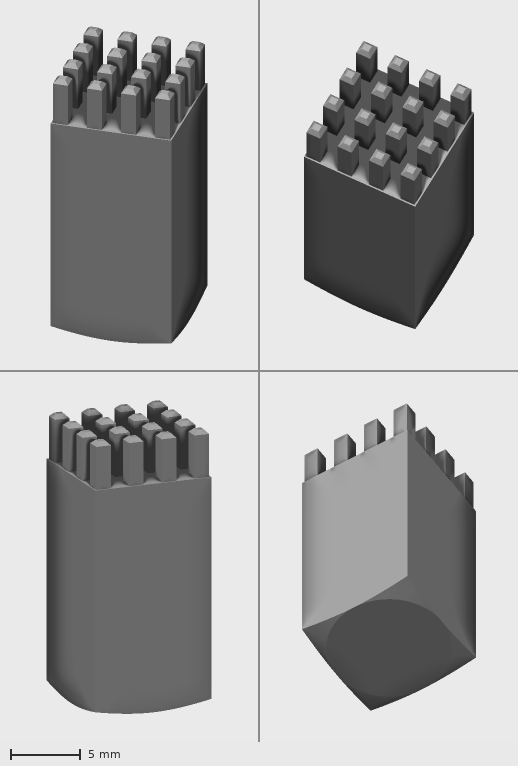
import cadquery as cq
import math

BODY_WIDTH = 9.0
BODY_HEIGHT = 17.0
BOTTOM_BEVEL_ANGLE = 15.0

PINS_PER_SIDE = 4
PIN_PITCH = 2.54
PIN_WIDTH = 1.13
PIN_HEIGHT = 3.5
PIN_TIP_CHAMFER = 0.3


def make_corner_bevel_cone():
    """Round envelope whose conical lower end bevels the corners of the body."""
    flat_radius = BODY_WIDTH / 2
    outer_radius = BODY_WIDTH
    cone_height = (outer_radius - flat_radius) * math.tan(math.radians(BOTTOM_BEVEL_ANGLE))
    profile = (
        cq.Workplane("XZ")
        .moveTo(0, 0)
        .lineTo(flat_radius, 0)
        .lineTo(outer_radius, cone_height)
        .lineTo(outer_radius, BODY_HEIGHT)
        .lineTo(0, BODY_HEIGHT)
        .close()
    )
    return profile.revolve(360, (0, 0, 0), (0, 1, 0))


def make_body():
    """Square block with a flat circle at the bottom and bevelled bottom corners."""
    block = cq.Workplane("XY").rect(BODY_WIDTH, BODY_WIDTH).extrude(BODY_HEIGHT)
    return block.intersect(make_corner_bevel_cone())


def add_pins(body):
    """Grid of square pins with chamfered tips, centred on the top face."""
    pins = (
        cq.Workplane("XY")
        .workplane(offset=BODY_HEIGHT)
        .rarray(PIN_PITCH, PIN_PITCH, PINS_PER_SIDE, PINS_PER_SIDE)
        .rect(PIN_WIDTH, PIN_WIDTH)
        .extrude(PIN_HEIGHT)
        .faces(">Z")
        .chamfer(PIN_TIP_CHAMFER)
    )
    return body.union(pins)


result = add_pins(make_body())